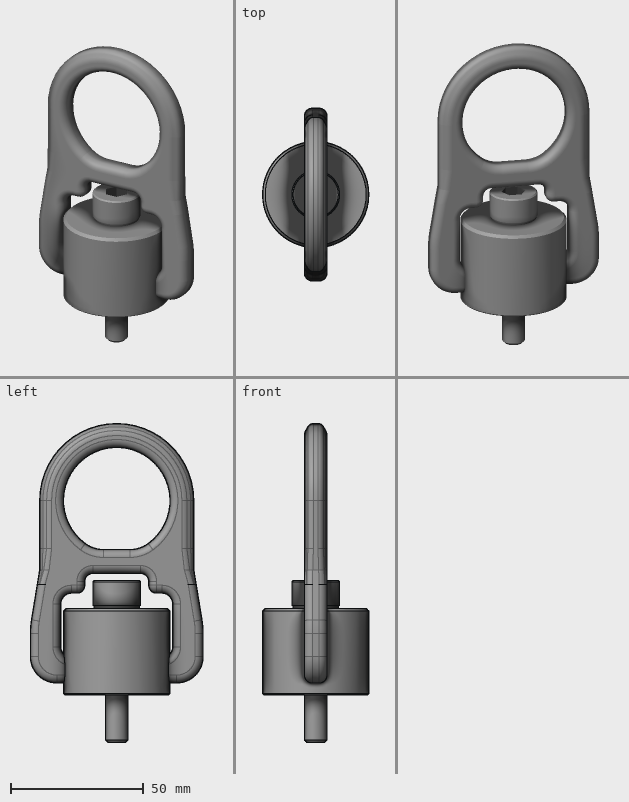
import cadquery as cq
import math


body_radius = 20
body_height = 32.5
body_top_chamfer = 1.0
body_seat_chamfer = 0.5

stud_radius = 4.25
stud_length = 18
stud_chamfer = 1.0
neck_radius = 8.6
neck_height = 1.0
head_radius = 9
head_height = 9.5
head_chamfer = 0.5
socket_flats = 8
socket_turn = 30
socket_depth = 6

ring_half_thickness = 4.25
arch_radius = 29
arch_center_z = 73
ring_half_width = 32.5
ring_bottom_z = 4.4
ring_corner_radius = 10
ring_edge_fillet = 3
flare_start_z = 47
flare_angle = 9.3
flare_blend_radius = 32

chamfer_depth = 3.5
chamfer_width = 2.0
chamfer_outer_tangent = 1.4
chamfer_inner_tangent = 1.0

change_top_z = 55
change_bottom_z = 41.5
rounded_share = 0.97

eye_radius = 20
eye_flat_z = 54.65
eye_blend_radius = 11.5

window_half_width = 21
window_shoulder_z = 38.2
window_bottom_z = 14
window_corner_radius = 4
notch_half_width = 12
notch_top_z = 45.6
notch_corner_radius = 3
notch_mouth_radius = ring_edge_fillet

rim_margin = 0.1

head_base_z = body_height + neck_height
head_top_z = head_base_z + head_height
ring_thickness = 2 * ring_half_thickness


def cylinder(radius, bottom_z, height):
    return cq.Workplane("XY").workplane(offset=bottom_z).circle(radius).extrude(height)


def make_body():
    body = cylinder(body_radius, 0, body_height)
    body = body.faces(">Z").edges().chamfer(body_top_chamfer)
    return body.faces("<Z").edges().chamfer(body_seat_chamfer)


def make_screw():
    stud = cylinder(stud_radius, -stud_length, stud_length + body_height)
    stud = stud.faces("<Z").edges().chamfer(stud_chamfer)
    neck = cylinder(neck_radius, body_height, neck_height)
    head = cylinder(head_radius, head_base_z, head_height)
    head = head.faces(">Z").edges().chamfer(head_chamfer)
    socket_corner_diameter = 2 * socket_flats / math.sqrt(3)
    socket = (
        cq.Workplane("XY")
        .workplane(offset=head_top_z - socket_depth)
        .transformed(rotate=(0, 0, socket_turn))
        .polygon(6, socket_corner_diameter)
        .extrude(socket_depth)
    )
    return stud.union(neck).union(head.cut(socket))


def flare_half_width(z):
    """Half width of the ring in Y: straight sides that lean outward below flare_start_z."""
    return arch_radius + max(0, flare_start_z - z) * math.tan(math.radians(flare_angle))


def edge_shape(z):
    """Chamfer depth and width, outer and inner tangent of the ring's edge at height z.

    Above change_top_z it is the steep chamfer. It changes evenly to the symmetric
    chamfer whose two roundings almost meet and so follow the plain fillet.
    """
    fillet_chamfer = ring_edge_fillet * (2 - math.sqrt(2))
    fillet_tangent = rounded_share * fillet_chamfer / math.sqrt(2)
    lower = (fillet_chamfer, fillet_chamfer, fillet_tangent, fillet_tangent)
    upper = (chamfer_depth, chamfer_width, chamfer_outer_tangent, chamfer_inner_tangent)
    share = min(1, (z - change_bottom_z) / (change_top_z - change_bottom_z))
    return [low + share * (high - low) for low, high in zip(lower, upper)]


def half_section(z):
    """Horizontal section of the +Y half of the ring, its edge cut by a rounded chamfer."""
    depth, width, outer_tangent, inner_tangent = edge_shape(z)
    half_width = flare_half_width(z)
    slope_length = math.hypot(depth, width)
    along_x = width / slope_length
    along_y = depth / slope_length
    outer_x = ring_half_thickness - width
    inner_y = half_width - depth
    flat_end = (outer_x - outer_tangent, half_width)
    slope_start = (outer_x + outer_tangent * along_x, half_width - outer_tangent * along_y)
    slope_end = (ring_half_thickness - inner_tangent * along_x, inner_y + inner_tangent * along_y)
    side_end = (ring_half_thickness, inner_y - inner_tangent)

    def mirrored(point):
        return (-point[0], point[1])

    return (
        cq.Workplane("XY")
        .workplane(offset=z)
        .moveTo(-ring_half_thickness, 0)
        .lineTo(*mirrored(side_end))
        .tangentArcPoint(mirrored(slope_end), relative=False)
        .lineTo(*mirrored(slope_start))
        .tangentArcPoint(mirrored(flat_end), relative=False)
        .lineTo(*flat_end)
        .tangentArcPoint(slope_start, relative=False)
        .lineTo(*slope_end)
        .tangentArcPoint(side_end, relative=False)
        .lineTo(ring_half_thickness, 0)
        .close()
    )


def make_ring_top():
    """Arch, straight sides and the stretch where the edge shape changes."""
    arch = half_section(arch_center_z).revolve(180, (0, 0), (1, 0))
    side = half_section(change_top_z).extrude(arch_center_z - change_top_z)
    change_heights = (change_bottom_z, flare_start_z, change_top_z)
    change_wires = [half_section(z).wires().val() for z in change_heights]
    side = side.union(cq.Workplane(cq.Solid.makeLoft(change_wires, True)))
    return arch.union(side).union(side.mirror("XZ"))


def make_ring_bottom():
    """Leaning sides and the rounded foot, with all outside edges filleted."""
    angle = math.radians(flare_angle)
    blend_end_width = ring_half_width - flare_blend_radius * (1 - math.cos(angle))
    blend_end_z = flare_start_z - (blend_end_width - arch_radius) / math.tan(angle)
    blend_start_z = blend_end_z - flare_blend_radius * math.sin(angle)
    top_width = flare_half_width(change_bottom_z)
    foot_half_flat = ring_half_width - ring_corner_radius
    foot_side_z = ring_bottom_z + ring_corner_radius
    plate = (
        cq.Workplane("YZ")
        .workplane(offset=-ring_half_thickness)
        .moveTo(-top_width, change_bottom_z)
        .lineTo(-blend_end_width, blend_end_z)
        .tangentArcPoint((-ring_half_width, blend_start_z), relative=False)
        .lineTo(-ring_half_width, foot_side_z)
        .tangentArcPoint((-foot_half_flat, ring_bottom_z), relative=False)
        .lineTo(foot_half_flat, ring_bottom_z)
        .tangentArcPoint((ring_half_width, foot_side_z), relative=False)
        .lineTo(ring_half_width, blend_start_z)
        .tangentArcPoint((blend_end_width, blend_end_z), relative=False)
        .lineTo(top_width, change_bottom_z)
        .close()
        .extrude(ring_thickness)
    )
    return plate.faces("<X or >X").edges("not(>Z)").fillet(ring_edge_fillet)


def eye_cutter():
    """Round eye with a flat bottom, blended into the circle by two tangent arcs."""
    blend_center_drop = arch_center_z - eye_flat_z - eye_blend_radius
    flat_half = math.sqrt((eye_radius - eye_blend_radius) ** 2 - blend_center_drop**2)
    reach = eye_radius / (eye_radius - eye_blend_radius)
    blend_y = flat_half * reach
    blend_z = arch_center_z - blend_center_drop * reach
    return (
        cq.Workplane("YZ")
        .workplane(offset=-ring_half_thickness)
        .moveTo(-flat_half, eye_flat_z)
        .lineTo(flat_half, eye_flat_z)
        .tangentArcPoint((blend_y, blend_z), relative=False)
        .threePointArc((0, arch_center_z + eye_radius), (-blend_y, blend_z))
        .tangentArcPoint((-flat_half, eye_flat_z), relative=False)
        .close()
        .extrude(ring_thickness)
    )


def window_block(half_width, bottom_z, top_z):
    height = top_z - bottom_z
    block = cq.Workplane("XY").box(ring_thickness, 2 * half_width, height, centered=(True, True, False))
    return block.translate((0, 0, bottom_z))


def window_cutter():
    window = window_block(window_half_width, window_bottom_z, window_shoulder_z)
    window = window.edges("|X").fillet(window_corner_radius)
    notch = window_block(notch_half_width, window_shoulder_z - window_corner_radius, notch_top_z)
    notch = notch.edges("|X and >Z").fillet(notch_corner_radius)
    window = window.union(notch)
    for side in (-1, 1):
        mouth = (0, side * notch_half_width, window_shoulder_z)
        window = window.edges(cq.selectors.NearestToPointSelector(mouth)).fillet(notch_mouth_radius)
    return window


def cut_opening(ring, cutter):
    """Cut an opening through the ring and fillet its rim on both faces."""
    ring = ring.cut(cutter)
    box = cutter.val().BoundingBox()
    around_opening = cq.selectors.BoxSelector(
        (box.xmin - rim_margin, box.ymin - rim_margin, box.zmin - rim_margin),
        (box.xmax + rim_margin, box.ymax + rim_margin, box.zmax + rim_margin),
        boundingbox=True,
    )
    return ring.faces("<X or >X").edges(around_opening).fillet(ring_edge_fillet)


def make_ring():
    ring = make_ring_top().union(make_ring_bottom())
    ring = cut_opening(ring, eye_cutter())
    return cut_opening(ring, window_cutter())


result = make_ring().union(make_body()).union(make_screw())